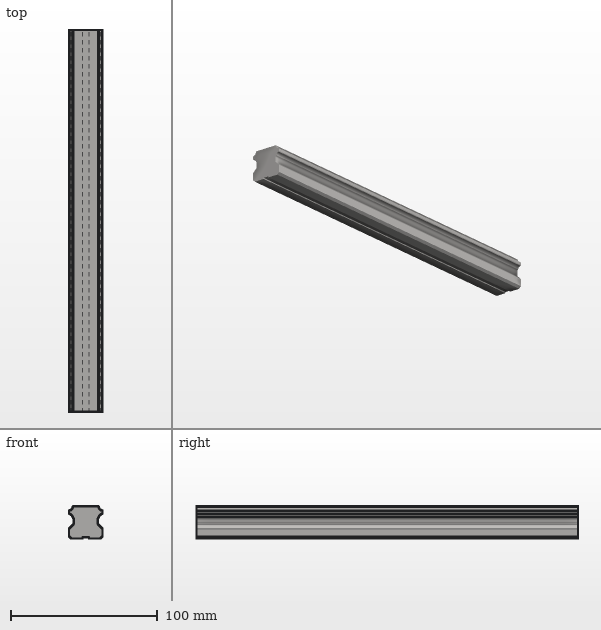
import cadquery as cq

length = 260.0
width = 23.0
height = 22.0

top_width = 17.0
throat_width = 18.0
top_chamfer_z = 21.3
raceway_radius = 2.3
land_top_z = 18.7
land_bottom_z = 17.2
land_chamfer_width = 0.3
land_chamfer_height = 0.5
raceway_end_z = 14.5

waist_width = 16.6
waist_top_z = 13.8
waist_fillet = 1.3

shoulder_top_z = 10.0
shoulder_bottom_z = 6.8
shoulder_fillet = 0.8
foot_chamfer = 1.5

groove_width = 4.2
groove_depth = 0.8

half_width = width / 2
half_throat = throat_width / 2
half_waist = waist_width / 2
half_groove = groove_width / 2
half_land_end = half_width - land_chamfer_width


def half_profile():
    """Right half of the cross-section, closed along the middle plane."""
    return (
        cq.Workplane("XZ", origin=(0, length / 2, 0))
        .moveTo(0, height)
        .lineTo(top_width / 2, height)
        .lineTo(half_throat, top_chamfer_z)
        .radiusArc((half_land_end, land_top_z + land_chamfer_height), -raceway_radius)
        .lineTo(half_width, land_top_z)
        .lineTo(half_width, land_bottom_z)
        .lineTo(half_land_end, land_bottom_z - land_chamfer_height)
        .radiusArc((half_throat, raceway_end_z), -raceway_radius)
        .lineTo(half_waist, waist_top_z)
        .lineTo(half_waist, shoulder_top_z)
        .lineTo(half_width, shoulder_bottom_z)
        .lineTo(half_width, foot_chamfer)
        .lineTo(half_width - foot_chamfer, 0)
        .lineTo(half_groove, 0)
        .lineTo(half_groove, groove_depth)
        .lineTo(0, groove_depth)
        .close()
    )


def round_length_edge(body, x, z, radius):
    """Round the lengthwise edge of the body that passes through (x, z)."""
    edge = cq.selectors.NearestToPointSelector((x, 0, z))
    return body.edges(edge).fillet(radius)


half_rail = half_profile().extrude(length)
half_rail = round_length_edge(half_rail, half_waist, waist_top_z, waist_fillet)
half_rail = round_length_edge(half_rail, half_waist, shoulder_top_z, waist_fillet)
half_rail = round_length_edge(half_rail, half_width, shoulder_bottom_z, shoulder_fillet)
result = half_rail.union(half_rail.mirror("YZ")).clean()